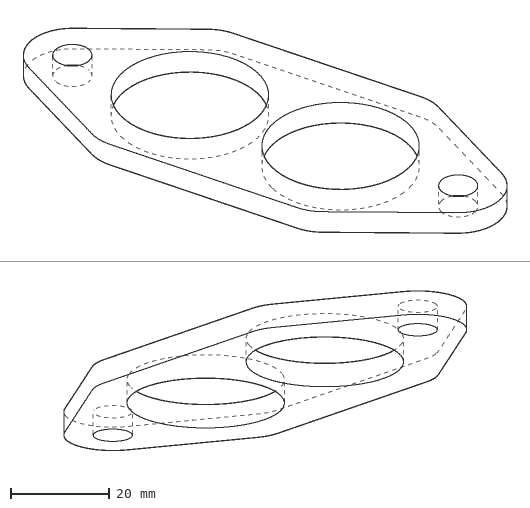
import cadquery as cq
import math

length = 112.0
width = 48.0
thickness = 5.0
corner_radius = 10.0
shoulder_x = 22.4
bolt_diameter = 8.0
port_diameter = 32.0
port_spacing = 36.0

bolt_x = length / 2 - corner_radius
shoulder_y = width / 2 - corner_radius

flank_angle = math.atan2(shoulder_y, bolt_x - shoulder_x)


def arc_point(center_x, center_y, angle):
    """Point on a corner arc, with the angle measured from +Y toward +X."""
    return (
        center_x + corner_radius * math.sin(angle),
        center_y + corner_radius * math.cos(angle),
    )


def mirror_x(point):
    return (-point[0], point[1])


def mirror_y(point):
    return (point[0], -point[1])


def opposite(point):
    return (-point[0], -point[1])


def flange_plate():
    """Six-sided plate with a tangent arc at every corner."""
    edge_end = arc_point(shoulder_x, shoulder_y, 0)
    shoulder_middle = arc_point(shoulder_x, shoulder_y, flank_angle / 2)
    shoulder_end = arc_point(shoulder_x, shoulder_y, flank_angle)
    tip_start = arc_point(bolt_x, 0, flank_angle)
    tip = (length / 2, 0)
    return (
        cq.Workplane("XY")
        .moveTo(*mirror_x(edge_end))
        .lineTo(*edge_end)
        .threePointArc(shoulder_middle, shoulder_end)
        .lineTo(*tip_start)
        .threePointArc(tip, mirror_y(tip_start))
        .lineTo(*mirror_y(shoulder_end))
        .threePointArc(mirror_y(shoulder_middle), mirror_y(edge_end))
        .lineTo(*opposite(edge_end))
        .threePointArc(opposite(shoulder_middle), opposite(shoulder_end))
        .lineTo(*opposite(tip_start))
        .threePointArc(mirror_x(tip), mirror_x(tip_start))
        .lineTo(*mirror_x(shoulder_end))
        .threePointArc(mirror_x(shoulder_middle), mirror_x(edge_end))
        .close()
        .extrude(thickness)
    )


def hole_pair(diameter, offset):
    """Two through-hole cutters placed symmetrically along X."""
    return (
        cq.Workplane("XY")
        .pushPoints([(-offset, 0), (offset, 0)])
        .circle(diameter / 2)
        .extrude(thickness)
    )


ports = hole_pair(port_diameter, port_spacing / 2)
bolt_holes = hole_pair(bolt_diameter, bolt_x)
result = flange_plate().cut(ports).cut(bolt_holes)